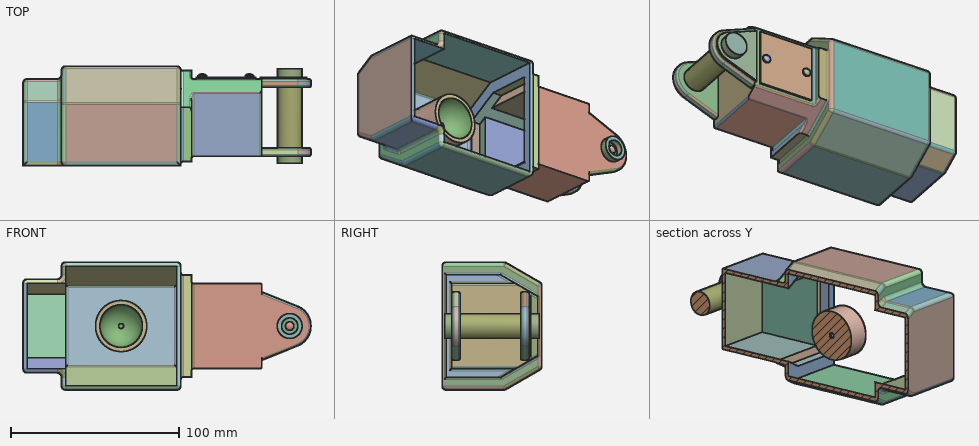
import cadquery as cq
import math

wall = 2.54
round_radius = 2.54
small_radius = 1.27
slope_angle = 30
tolerance = 0.01

shoulder_x = 22.86
box_end_x = 93.98
collar_end_x = 100.33
arm_end_x = 142.24
tip_x = 171.45

box_back_y = 59.436
nose_section = (27.94, 0, 51.816, 20.32)
box_section = (38.1, 0, box_back_y, 25.4)
collar_section = (30.48, 2.54, 56.896, 17.78)
arm_half, arm_front_y, arm_back_y = 25.4, 5.715, 51.816
arm_back_half = collar_section[3] + (collar_section[2] - arm_back_y) * math.tan(math.radians(slope_angle))
arm_section = (arm_half, arm_front_y, arm_back_y, arm_back_half)

cup_x = (shoulder_x + box_end_x) / 2
cup_outer_radius = 15.24
cup_sphere_radius = 12.7
cup_rim_y = box_back_y / 2
cup_hole_radius = 1.5
cup_hole_depth = 2.54

lug_thickness = 5.08
lug_tip_radius = 12.7
lug_root_half = 20.32
pin_x = tip_x - lug_tip_radius
pin_radius = 7.4
pin_front_y = 1.524
pin_back_y = box_back_y - pin_front_y
socket_radius = 4.85
socket_depth = 6.35
stud_radius = 2.54
stud_shoulder_depth = 2.8
stud_dome_height = 0.8

pad_height = 1.016
pad_inset = 2.54
arm_pad_start_x = 103.0
arm_pad_end_x = 138.6
lug_pad_start_x = 141.2
screw_positions = (106.7, 134.7)
screw_radius = 2.54
screw_rim_height = 0.8
screw_height = 2.0


def inset(section, distance):
    """Cross-section moved inward by a distance, square to each of its faces."""
    half, front, back, back_half = section
    corner_shift = distance * math.tan(math.radians(slope_angle))
    return half - distance, front + distance, back - distance, back_half - corner_shift


def open_front(section):
    """Cross-section whose front reaches the mouth plane."""
    half, _, back, back_half = section
    return half, 0, back, back_half


def prism(section, start_x, end_x):
    """Six-sided bar along X with two sloped faces towards the back."""
    half, front, back, back_half = section
    slope_start = back - (half - back_half) / math.tan(math.radians(slope_angle))
    outline = [
        (front, -half),
        (slope_start, -half),
        (back, -back_half),
        (back, back_half),
        (slope_start, half),
        (front, half),
    ]
    return cq.Workplane("YZ", origin=(start_x, 0, 0)).polyline(outline).close().extrude(end_x - start_x)


def cylinder(x, z, radius, start_y, end_y):
    """Round bar along Y."""
    plane = cq.Plane(origin=(x, start_y, z), xDir=(1, 0, 0), normal=(0, 1, 0))
    return cq.Workplane(plane).circle(radius).extrude(end_y - start_y)


def domed_post(radius, base_y, shoulder_y, top_y):
    """Round post along Y whose end is a spherical cap from the shoulder to the top."""
    rise = top_y - shoulder_y
    direction = math.copysign(1, rise)
    cap_radius = (radius**2 + rise**2) / (2 * abs(rise))
    half_angle = math.asin(radius / cap_radius) / 2
    middle_x = cap_radius * math.sin(half_angle)
    middle_y = top_y - direction * cap_radius * (1 - math.cos(half_angle))
    return (
        cq.Workplane("XY")
        .moveTo(0, base_y)
        .lineTo(radius, base_y)
        .lineTo(radius, shoulder_y)
        .threePointArc((middle_x, middle_y), (0, top_y))
        .close()
        .revolve(360, (0, 0, 0), (0, 1, 0))
    )


def make_shell():
    """Nose and main box as one rounded body; the two end faces stay sharp at the mouth."""
    shell = prism(nose_section, 0, box_end_x).union(prism(box_section, shoulder_x, box_end_x))
    end_mouth_edges = [
        edge
        for edge in shell.edges("|Z").vals()
        if abs(edge.Center().y) < tolerance
        and not tolerance < edge.Center().x < box_end_x - tolerance
    ]
    rounded = [
        edge
        for edge in shell.edges().vals()
        if not any(edge.isSame(sharp) for sharp in end_mouth_edges)
    ]
    return shell.newObject(rounded).fillet(round_radius)


def edges_at_plane(body, x, section):
    """Edges lying in the plane at x, no farther out than the given cross-section."""
    half, front, back, _ = section
    box = cq.selectors.BoxSelector(
        (x - tolerance, front - tolerance, -half - tolerance),
        (x + tolerance, back + tolerance, half + tolerance),
        boundingbox=True,
    )
    return body.edges(box)


def sloped_faces(body):
    """The two sloped back faces shared by the collar and the arm."""
    tilt = math.cos(math.radians(slope_angle))
    return [face for face in body.faces("%PLANE").vals() if abs(abs(face.normalAt().z) - tilt) < tolerance]


def end_corner_waste(side):
    """Material outside the rounded upright corner at the end of the arm, at +Z or -Z."""
    half, front, back, _ = arm_section
    centre_x = arm_end_x - small_radius
    centre_z = side * (half - small_radius)
    corner = (
        cq.Workplane("XY")
        .box(small_radius, back - front, small_radius)
        .translate((centre_x + small_radius / 2, (front + back) / 2, centre_z + side * small_radius / 2))
    )
    return corner.cut(cylinder(centre_x, centre_z, small_radius, front, back))


def make_arm():
    """Collar and arm as one solid with flush sloped faces, rounded where they step."""
    arm = prism(arm_section, box_end_x, arm_end_x).union(prism(collar_section, box_end_x, collar_end_x))
    arm = edges_at_plane(arm, collar_end_x, arm_section).edges("|Y or |Z").fillet(small_radius)
    stepped_edges = []
    for face in sloped_faces(arm):
        stepped_edges += [
            edge
            for edge in face.Edges()
            if edge.BoundingBox().xmax > collar_end_x - tolerance
            and box_end_x + tolerance < edge.BoundingBox().xmin < arm_end_x - tolerance
        ]
    arm = arm.newObject(stepped_edges).fillet(small_radius)
    for side in (-1, 1):
        arm = arm.cut(end_corner_waste(side))
    return arm


def blend_collar(body):
    """Inside rounding where the collar meets the end of the main box."""
    return edges_at_plane(body, box_end_x, collar_section).fillet(small_radius)


def tapered_plate(start_x, root_half, tip_radius, start_y, end_y):
    """Plate whose straight sides run tangent into a round tip about the pin."""
    run = pin_x - start_x
    tangent_angle = math.atan2(root_half, run) + math.acos(tip_radius / math.hypot(run, root_half))
    tangent_x = pin_x - tip_radius * math.cos(tangent_angle)
    tangent_z = tip_radius * math.sin(tangent_angle)
    plane = cq.Plane(origin=(0, start_y, 0), xDir=(1, 0, 0), normal=(0, -1, 0))
    return (
        cq.Workplane(plane)
        .moveTo(start_x, -root_half)
        .lineTo(tangent_x, -tangent_z)
        .threePointArc((pin_x + tip_radius, 0), (tangent_x, tangent_z))
        .lineTo(start_x, root_half)
        .close()
        .extrude(start_y - end_y)
    )


def make_lug(start_y):
    """Lug with its outer rim rounded on both sides and a short root sunk into the arm."""
    lug = tapered_plate(arm_end_x, lug_root_half, lug_tip_radius, start_y, start_y + lug_thickness)
    lug = lug.faces("<Y or >Y").edges("not |Z").fillet(small_radius)
    root = (
        cq.Workplane("XY")
        .box(small_radius, lug_thickness, 2 * (lug_root_half - small_radius))
        .translate((arm_end_x - small_radius / 2, start_y + lug_thickness / 2, 0))
    )
    return lug.union(root)


def cut_cavities(body):
    """Hollow nose, box, collar and arm; each cavity opens into the next."""
    nose = prism(open_front(inset(nose_section, wall)), wall, shoulder_x + wall)
    box = prism(open_front(inset(box_section, wall)), shoulder_x + wall, box_end_x - wall)
    box = box.faces(">Y").edges().fillet(small_radius)
    collar = prism(inset(collar_section, wall), box_end_x - wall, collar_end_x - wall)
    arm = prism(inset(arm_section, wall), collar_end_x - wall, arm_end_x - wall)
    return body.cut(nose).cut(box).cut(collar).cut(arm)


def add_cup(body):
    """Round post on the cavity floor with a hemispherical cup and a small hole at its bottom."""
    floor_y = box_section[2] - wall
    post = cylinder(cup_x, 0, cup_outer_radius, cup_rim_y, floor_y)
    ball = cq.Workplane("XZ", origin=(cup_x, cup_rim_y, 0)).sphere(cup_sphere_radius)
    hole_end_y = cup_rim_y + cup_sphere_radius + cup_hole_depth
    hole = cylinder(cup_x, 0, cup_hole_radius, cup_rim_y, hole_end_y)
    return body.union(post).cut(ball).cut(hole)


def make_pin():
    """Cross pin with a round socket in its front end and a low-domed stud inside the socket."""
    pin = cylinder(pin_x, 0, pin_radius, pin_front_y, pin_back_y)
    socket_floor_y = pin_front_y + socket_depth
    shoulder_y = pin_front_y + stud_shoulder_depth
    pin = pin.cut(cylinder(pin_x, 0, socket_radius, pin_front_y, socket_floor_y))
    stud = domed_post(stud_radius, socket_floor_y, shoulder_y, shoulder_y - stud_dome_height)
    return pin.union(stud.translate((pin_x, 0, 0)))


def make_screw_head(x):
    """Low round head: a short rim with a domed top."""
    base_y = arm_section[2] + pad_height
    head = domed_post(screw_radius, base_y, base_y + screw_rim_height, base_y + screw_height)
    return head.translate((x, 0, 0))


def add_back_details(body):
    """Raised pads on the back of the arm and lug, and screw heads on the arm pad."""
    back = arm_section[2]
    pad_half = arm_section[3] - pad_inset
    arm_pad = (
        cq.Workplane("XY")
        .box(arm_pad_end_x - arm_pad_start_x, pad_height, 2 * pad_half)
        .translate(((arm_pad_start_x + arm_pad_end_x) / 2, back + pad_height / 2, 0))
    )
    lug_pad = tapered_plate(
        lug_pad_start_x, lug_root_half - pad_inset, lug_tip_radius - pad_inset, back, back + pad_height
    )
    body = body.union(arm_pad).union(lug_pad)
    for x in screw_positions:
        body = body.union(make_screw_head(x))
    return body


result = blend_collar(make_shell().union(make_arm()))
result = cut_cavities(result)
result = add_cup(result)
for lug_y in (arm_section[1], arm_section[2] - lug_thickness):
    result = result.union(make_lug(lug_y))
result = result.union(make_pin())
result = add_back_details(result)